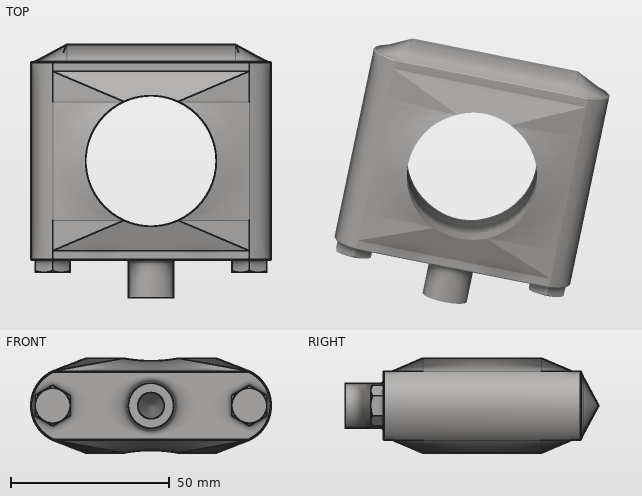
import cadquery as cq
import math

body_width = 75.8
flat_width = 62.0
body_height = 21.7
body_length = 62.5
edge_chamfer = 0.3
front_y = -body_length / 2
rear_y = body_length / 2

bore_radius = 20.5
pad_length = 56.6
pad_top_length = 37.4
part_height = 29.9

roof_ridge_width = 53.1
roof_half_height = 10.55
roof_slope_half_height = 10.2
roof_flare_depth = 0.55
roof_depth = 5.5

part_length = 79.9
tip_y = rear_y + roof_depth - part_length
boss_radius = 7.1
boss_fillet = 0.6
inlet_radius = 4.15
inlet_depth = 16.0
drill_half_angle = 59.0

bolt_spacing = flat_width
hex_sides = 6
bolt_across_flats = 11.0
bolt_head_height = 3.8
bolt_chamfer_angle = 30.0


def make_body():
    half_flat = flat_width / 2
    half_height = body_height / 2
    body = (
        cq.Workplane("XZ", origin=(0, rear_y, 0))
        .moveTo(-half_flat, half_height)
        .lineTo(half_flat, half_height)
        .threePointArc((body_width / 2, 0), (half_flat, -half_height))
        .lineTo(-half_flat, -half_height)
        .threePointArc((-body_width / 2, 0), (-half_flat, half_height))
        .close()
        .extrude(body_length)
    )
    return body.faces("<Y or >Y").chamfer(edge_chamfer)


def planar_face(*points):
    return cq.Face.makeFromWires(cq.Wire.makePolygon(points, close=True))


def make_upper_pad():
    """Faceted pad whose two sides are ruled from a straight edge to the bore rim."""
    half_flat = flat_width / 2
    half_length = pad_length / 2
    half_top = pad_top_length / 2
    rim_x = math.sqrt(bore_radius**2 - half_top**2)
    base_z = body_height / 2
    top_z = part_height / 2

    def base(x, y):
        return cq.Vector(x, y, base_z)

    def top(x, y):
        return cq.Vector(x, y, top_z)

    faces = []
    rim_arcs = []
    for side in (-1, 1):
        rim_arc = cq.Edge.makeThreePointArc(
            top(side * rim_x, -half_top),
            top(side * bore_radius, 0),
            top(side * rim_x, half_top),
        )
        side_edge = cq.Edge.makeLine(
            base(side * half_flat, -half_top), base(side * half_flat, half_top)
        )
        faces.append(cq.Face.makeRuledSurface(side_edge, rim_arc))
        rim_arcs.append(rim_arc)

    chords = []
    for end in (-1, 1):
        left_rim = top(-rim_x, end * half_top)
        right_rim = top(rim_x, end * half_top)
        left_corner = base(-half_flat, end * half_length)
        right_corner = base(half_flat, end * half_length)
        faces.append(planar_face(left_corner, right_corner, right_rim, left_rim))
        faces.append(planar_face(left_corner, left_rim, base(-half_flat, end * half_top)))
        faces.append(planar_face(right_corner, right_rim, base(half_flat, end * half_top)))
        chords.append(cq.Edge.makeLine(left_rim, right_rim))

    top_outline = cq.Wire.assembleEdges([rim_arcs[0], chords[0], rim_arcs[1], chords[1]])
    faces.append(cq.Face.makeFromWires(top_outline))
    faces.append(
        planar_face(
            base(-half_flat, -half_length),
            base(-half_flat, -half_top),
            base(-half_flat, half_top),
            base(-half_flat, half_length),
            base(half_flat, half_length),
            base(half_flat, half_top),
            base(half_flat, -half_top),
            base(half_flat, -half_length),
        )
    )
    return cq.Workplane(obj=cq.Solid.makeSolid(cq.Shell.makeShell(faces)).fix())


def make_roof():
    """Ridge with half-cone ends, flaring slightly where it meets the body."""
    half_ridge = roof_ridge_width / 2
    peak_y = rear_y + roof_depth
    flare_y = rear_y + roof_flare_depth
    flare_half_height = roof_slope_half_height * (1 - roof_flare_depth / roof_depth)
    roof = (
        cq.Workplane("YZ", origin=(-half_ridge, 0, 0))
        .moveTo(rear_y, -roof_half_height)
        .lineTo(flare_y, -flare_half_height)
        .lineTo(peak_y, 0)
        .lineTo(flare_y, flare_half_height)
        .lineTo(rear_y, roof_half_height)
        .close()
        .extrude(roof_ridge_width)
    )
    round_end = (
        cq.Workplane("XY")
        .moveTo(0, rear_y)
        .lineTo(roof_half_height, rear_y)
        .lineTo(flare_half_height, flare_y)
        .lineTo(0, peak_y)
        .close()
        .revolve(360, (0, 0, 0), (0, 1, 0))
    )
    for x in (-half_ridge, half_ridge):
        roof = roof.union(round_end.translate((x, 0, 0)))
    return roof


def make_boss():
    """Round boss with a small concave fillet at its root."""
    root_radius = boss_radius + boss_fillet
    arc_offset = boss_fillet * (1 - math.sqrt(0.5))
    return (
        cq.Workplane("XY")
        .moveTo(0, front_y)
        .lineTo(root_radius, front_y)
        .threePointArc(
            (boss_radius + arc_offset, front_y - arc_offset),
            (boss_radius, front_y - boss_fillet),
        )
        .lineTo(boss_radius, tip_y)
        .lineTo(0, tip_y)
        .close()
        .revolve(360, (0, 0, 0), (0, 1, 0))
    )


def make_inlet():
    """Blind drilled hole with a conical bottom."""
    bottom_y = tip_y + inlet_depth
    point_length = inlet_radius / math.tan(math.radians(drill_half_angle))
    return (
        cq.Workplane("XY")
        .moveTo(0, tip_y)
        .lineTo(inlet_radius, tip_y)
        .lineTo(inlet_radius, bottom_y)
        .lineTo(0, bottom_y + point_length)
        .close()
        .revolve(360, (0, 0, 0), (0, 1, 0))
    )


def make_bolt_head(x):
    """Hexagonal head, flats facing X, with its outer corners turned to a cone."""
    flat_radius = bolt_across_flats / 2
    corner_radius = flat_radius / math.cos(math.pi / hex_sides)
    chamfer_depth = (corner_radius - flat_radius) * math.tan(math.radians(bolt_chamfer_angle))
    head = (
        cq.Workplane("XZ", origin=(0, front_y, 0))
        .transformed(rotate=(0, 0, 90))
        .polygon(hex_sides, 2 * corner_radius)
        .extrude(bolt_head_height)
    )
    turned_blank = (
        cq.Workplane("XZ", origin=(0, front_y, 0))
        .circle(corner_radius)
        .extrude(bolt_head_height)
        .faces("<Y")
        .chamfer(chamfer_depth, corner_radius - flat_radius)
    )
    return head.intersect(turned_blank).translate((x, 0, 0))


upper_pad = make_upper_pad()
lower_pad = upper_pad.mirror("XY")
bore = cq.Workplane("XY", origin=(0, 0, -part_height / 2)).circle(bore_radius).extrude(part_height)

result = make_body().union(upper_pad).union(lower_pad).cut(bore)
result = result.union(make_roof()).union(make_boss()).cut(make_inlet())
for bolt_x in (-bolt_spacing / 2, bolt_spacing / 2):
    result = result.union(make_bolt_head(bolt_x))